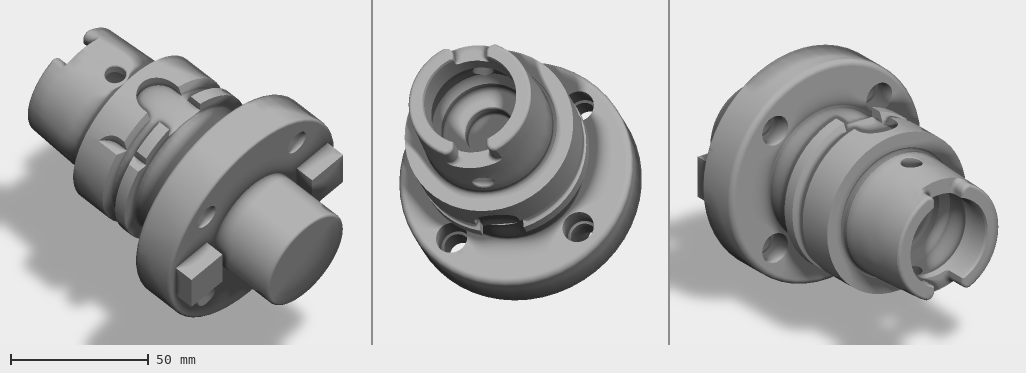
import cadquery as cq
import math


total_length = 119.0
taper_end = 29.8
collar_start = 31.9
collar_end = 57.8
disc_start = 74.1
disc_end = 91.7

taper_ratio = 1 / 20
taper_end_radius = 24.3
taper_start_radius = taper_end_radius - taper_ratio * taper_end
shank_rim_round = 1.2

relief_radius = 24.0
relief_run = 0.6
recess_round = 0.7
recess_setback = 0.5
recess_center_x = collar_start - recess_setback
recess_center_radius = relief_radius + recess_round
recess_mouth_radius = recess_center_radius + math.sqrt(
    recess_round**2 - recess_setback**2
)

collar_radius = 31.4
groove_start = 46.8
groove_end = 53.1
groove_radius = 27.5
groove_round = 1.1
groove_flank_run = 1.4

neck_radius = 25.8
collar_neck_round = 1.1
disc_neck_round = 0.6

disc_diameter = 87.0
disc_radius = disc_diameter / 2
disc_front_round = 2.1
disc_rear_round = 1.1
spigot_radius = 20.0
spigot_end_round = 1.1

bore_radius = 17.1
bore_depth = 33.3
bore_floor_round = 1.4
mouth_chamfer_depth = 1.2
mouth_chamfer_height = 0.4
cavity_radius = 20.0
cavity_start = 13.0
cavity_end = 29.2
cavity_front_run = 1.7
cavity_rear_run = cavity_radius - bore_radius
pocket_radius = 9.3
pocket_depth = 6.0
pocket_floor_round = 0.7
pocket_edge_chamfer = 0.4

top_slot_depth = 6.0
bottom_slot_depth = 9.6
slot_half_width = 6.2
slot_flare_radius = 2.9
slot_flare_top = 20.7
slot_floor_round = 1.4

cross_hole_x = 22.8
cross_hole_radius = 3.9
cross_hole_chamfer = 0.4

cutter_radius = 8.1
cutter_center_x = 44.6
keyway_floor = 26.4
notch_offset = 20.1

bolt_count = 4
first_bolt_angle = 45
bolt_circle_radius = 33.3
bolt_hole_radius = 4.8
counterbore_radius = 5.8
counterbore_depth = (disc_end - disc_start) / 2

key_size = 16.2
key_length = 7.9
key_center_y = 31.5


def revolve_about_x(outline):
    """Revolve a closed XY outline a full turn about the X axis."""
    return outline.close().revolve(360, (0, 0, 0), (1, 0, 0))


def make_body():
    """Outer turned shape: taper, collar, neck, disc and spigot."""
    flank_radius = groove_radius + groove_round
    outline = (
        cq.Workplane("XY")
        .moveTo(0, 0)
        .lineTo(0, taper_start_radius)
        .lineTo(taper_end, taper_end_radius)
        .lineTo(taper_end + relief_run, relief_radius)
        .lineTo(recess_center_x, relief_radius)
        .threePointArc(
            (recess_center_x + recess_round, recess_center_radius),
            (collar_start, recess_mouth_radius),
        )
        .lineTo(collar_start, collar_radius)
        .lineTo(groove_start, collar_radius)
        .lineTo(groove_start + groove_flank_run, flank_radius)
        .radiusArc((groove_start + groove_flank_run + groove_round, groove_radius), -groove_round)
        .lineTo(groove_end - groove_flank_run - groove_round, groove_radius)
        .radiusArc((groove_end - groove_flank_run, flank_radius), -groove_round)
        .lineTo(groove_end, collar_radius)
        .lineTo(collar_end, collar_radius)
        .lineTo(collar_end, neck_radius + collar_neck_round)
        .radiusArc((collar_end + collar_neck_round, neck_radius), -collar_neck_round)
        .lineTo(disc_start - disc_neck_round, neck_radius)
        .radiusArc((disc_start, neck_radius + disc_neck_round), -disc_neck_round)
        .lineTo(disc_start, disc_radius - disc_front_round)
        .radiusArc((disc_start + disc_front_round, disc_radius), disc_front_round)
        .lineTo(disc_end - disc_rear_round, disc_radius)
        .radiusArc((disc_end, disc_radius - disc_rear_round), disc_rear_round)
        .lineTo(disc_end, spigot_radius)
        .lineTo(total_length - spigot_end_round, spigot_radius)
        .radiusArc((total_length, spigot_radius - spigot_end_round), spigot_end_round)
        .lineTo(total_length, 0)
    )
    return revolve_about_x(outline)


def make_bore():
    """Everything hollow along the axis: mouth, clamping cavity, bore floor and centre pocket."""
    pocket_floor = bore_depth + pocket_depth
    outline = (
        cq.Workplane("XY")
        .moveTo(0, 0)
        .lineTo(0, bore_radius + mouth_chamfer_height)
        .lineTo(mouth_chamfer_depth, bore_radius)
        .lineTo(cavity_start, bore_radius)
        .lineTo(cavity_start + cavity_front_run, cavity_radius)
        .lineTo(cavity_end - cavity_rear_run, cavity_radius)
        .lineTo(cavity_end, bore_radius)
        .lineTo(bore_depth - bore_floor_round, bore_radius)
        .radiusArc((bore_depth, bore_radius - bore_floor_round), bore_floor_round)
        .lineTo(bore_depth, pocket_radius + pocket_edge_chamfer)
        .lineTo(bore_depth + pocket_edge_chamfer, pocket_radius)
        .lineTo(pocket_floor - pocket_floor_round, pocket_radius)
        .radiusArc((pocket_floor, pocket_radius - pocket_floor_round), pocket_floor_round)
        .lineTo(pocket_floor, 0)
    )
    return revolve_about_x(outline)


def make_drive_slot(depth):
    """Slot cutter for the +Z wall of the shank; its sides flare outward near the rim."""
    flare_start = slot_flare_top - slot_flare_radius
    flare_half_width = slot_half_width + slot_flare_radius
    outer_half_width = taper_end_radius
    return (
        cq.Workplane("YZ")
        .moveTo(-slot_half_width, 0)
        .lineTo(slot_half_width, 0)
        .lineTo(slot_half_width, flare_start)
        .radiusArc((flare_half_width, slot_flare_top), slot_flare_radius)
        .lineTo(outer_half_width, slot_flare_top)
        .lineTo(outer_half_width, collar_radius)
        .lineTo(-outer_half_width, collar_radius)
        .lineTo(-outer_half_width, slot_flare_top)
        .lineTo(-flare_half_width, slot_flare_top)
        .radiusArc((-slot_half_width, flare_start), slot_flare_radius)
        .close()
        .extrude(depth)
        .faces(">X")
        .edges()
        .fillet(slot_floor_round)
    )


def make_round_ended_cut(center_y, floor_z):
    """Cut along X with a round left end, open towards +Z and past the end of the collar."""
    height = collar_radius - floor_z
    run = collar_end - cutter_center_x
    round_end = (
        cq.Workplane("XY", origin=(cutter_center_x, center_y, floor_z))
        .circle(cutter_radius)
        .extrude(height)
    )
    straight = (
        cq.Workplane("XY", origin=(cutter_center_x, center_y, floor_z))
        .rect(run, 2 * cutter_radius)
        .extrude(height)
        .translate((run / 2, 0, 0))
    )
    return round_end.union(straight)


def flip_below(shape):
    """Turn a shape half a turn about the X axis."""
    return shape.rotate((0, 0, 0), (1, 0, 0), 180)


def add_cross_hole(shank):
    """Drill along Z through the still solid shank and chamfer both outer edges of the hole."""
    hole = (
        cq.Workplane("XY", origin=(cross_hole_x, 0, -collar_radius))
        .circle(cross_hole_radius)
        .extrude(2 * collar_radius)
    )
    reach = cross_hole_radius + cross_hole_chamfer
    around_hole = cq.selectors.BoxSelector(
        (cross_hole_x - reach, -reach, -collar_radius),
        (cross_hole_x + reach, reach, collar_radius),
        boundingbox=True,
    )
    return shank.cut(hole).edges(around_hole).edges("%BSPLINE").chamfer(cross_hole_chamfer)


def make_bolt_holes():
    """Four through holes in the disc, counterbored from the neck side."""
    pattern = (
        cq.Workplane("YZ", origin=(disc_start, 0, 0))
        .polarArray(bolt_circle_radius, first_bolt_angle, 360, bolt_count)
    )
    through = pattern.circle(bolt_hole_radius).extrude(disc_end - disc_start)
    return through.union(pattern.circle(counterbore_radius).extrude(counterbore_depth))


result = make_body()
result = result.cut(make_drive_slot(top_slot_depth))
result = result.cut(flip_below(make_drive_slot(bottom_slot_depth)))
result = result.faces("<X").edges().fillet(shank_rim_round)

result = add_cross_hole(result)
result = result.cut(make_bore())

keyway = make_round_ended_cut(0, keyway_floor)
result = result.cut(keyway).cut(flip_below(keyway))
result = result.cut(make_round_ended_cut(-notch_offset - cutter_radius, notch_offset))

result = result.cut(make_bolt_holes())
for side in (-1, 1):
    key = (
        cq.Workplane("YZ", origin=(disc_end, side * key_center_y, 0))
        .rect(key_size, key_size)
        .extrude(key_length)
    )
    result = result.union(key)